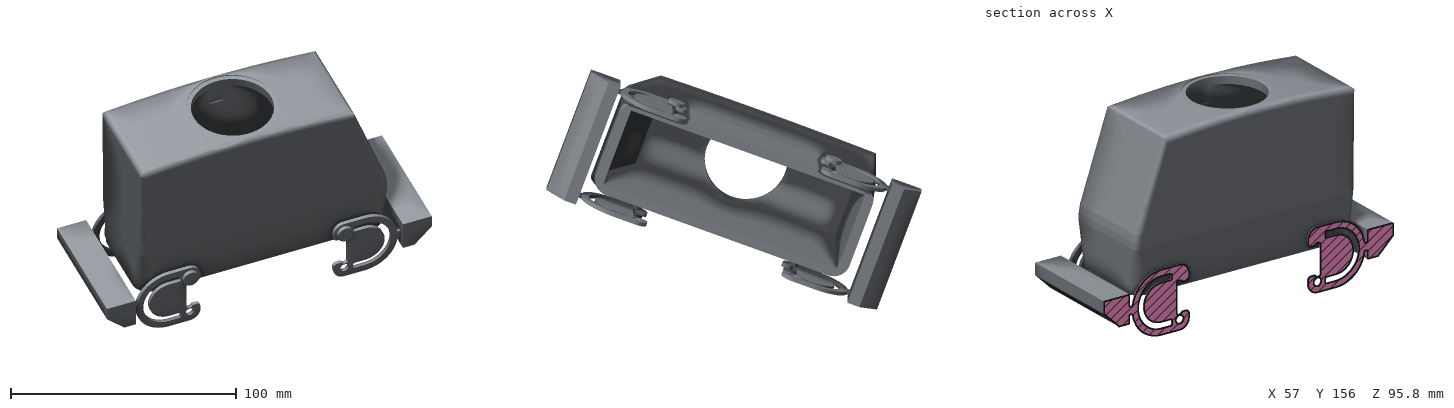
import cadquery as cq
import math


LENGTH = 156.0
WIDTH = 57.0

HALF_WIDTH = 23.1
HALF_WIDTH_SKIRT = 22.2
HALF_WIDTH_RIM = 21.8
HALF_LENGTH = 59.9
SKIRT_Z = 6.7
WAIST_Z = 23.1
BEND_Z = 26.2
BEND_Y = 59.6
SLOPE_BOTTOM_Z = 30.0
SLOPE_BOTTOM_Y = 58.8
BLANK_TOP_Z = 78.0
SLOPE_TOP_Y = 41.5
UPRIGHT_LEAN = 1.0
CORNER_RADIUS_RIM = 7.5
CORNER_RADIUS_SKIRT = 6.5
CORNER_RADIUS_TOP = 1.4
UPRIGHT_RADIUS_WAIST = 4.0
SLOPED_RADIUS_WAIST = 3.1
SLOPED_RADIUS_BEND = 3.0
SLOPED_RADIUS_KNEE = 2.8

OVERHANG = 31.2

DOME_RADIUS = 499.2
DOME_PEAK_Z = 76.0
ROOF_FILLET = 3.0
SLOPE_FILLET = 2.0
ENTRY_Y = -5.8
SPOT_FACE_Z = 75.5
ENTRY_RADIUS = 18.4
ENTRY_DEPTH = 12.0
SPOT_FACE_RADIUS = 20.6

SIDE_WALL = 5.1
END_WALL = 4.7
ROOF_THICKNESS = 4.2

LEVER_MID_Z = -4.0
LEVER_OUTER_X = 25.9
LEVER_THICKNESS = 1.7
LEVER_RADIUS = 15.8
LEVER_ARC_U = 9.8
FRONT_EDGE_U = 1.5
PIVOT_Y = 37.1
EYE_RADIUS = 5.1
PIVOT_OFFSET = LEVER_RADIUS - EYE_RADIUS
PIVOT_HOLE_RADIUS = 1.95
HOOK_RADIUS = 1.9
HOOK_END = 7.0
NOTCH_START_U = -1.4
NOTCH_DEPTH = 1.1
NOTCH_EDGE_RISE = 0.5
SLOT_OUTER_RADIUS = 12.5
SLOT_INNER_RADIUS = 9.5
SLOT_END_U = 4.2
SLOT_CORNER_RADIUS = 0.8

BOLT_SHAFT_RADIUS = 1.9
BOLT_HEAD_RADIUS = 3.7
BOLT_OUTER_X = 27.6
BOLT_INNER_X = 20.3

BAR_DEPTH = 13.9
BAR_TOP_Z = 3.9
BAR_HEIGHT = 14.2
BAR_CHAMFER_Y = 8.3
BAR_CHAMFER_Z = 8.1
NECK_HEIGHT = 4.0
NECK_OVERLAP = 0.8


def upright_y(z):
    """Y of the nearly vertical end wall at height z."""
    return -HALF_LENGTH + UPRIGHT_LEAN * z / BLANK_TOP_Z


def roof_z(y, drop):
    """Height at y of the dome lying the given drop inside the roof surface."""
    centre_z = DOME_PEAK_Z - DOME_RADIUS
    return centre_z + math.sqrt((DOME_RADIUS - drop) ** 2 - (y - ENTRY_Y) ** 2)


def section_wire(z, half_width, y_min, y_max, radius):
    """Closed rounded-rectangle wire at height z."""
    blank = cq.Workplane("XY").box(2 * half_width, y_max - y_min, BLANK_TOP_Z, centered=(True, True, False))
    wire = blank.edges("|Z").fillet(radius).faces("<Z").wires().val()
    return wire.translate(cq.Vector(0, (y_min + y_max) / 2, z))


def domed_block(half_width, drop=0.0):
    """Block under the dome, longer than the hood."""
    end_y = HALF_LENGTH + OVERHANG
    return (
        cq.Workplane("YZ", origin=(-half_width, 0, 0))
        .moveTo(-end_y, 0)
        .lineTo(-end_y, roof_z(-end_y, drop))
        .threePointArc((ENTRY_Y, DOME_PEAK_Z - drop), (end_y, roof_z(end_y, drop)))
        .lineTo(end_y, 0)
        .close()
        .extrude(2 * half_width)
    )


def side_profile_block(half_width, inset=0.0):
    """Block with the end walls of the hood, each moved inward by the inset."""
    slope_run = (SLOPE_BOTTOM_Y - SLOPE_TOP_Y) / (BLANK_TOP_Z - SLOPE_BOTTOM_Z)
    knee_z = SLOPE_BOTTOM_Z - (HALF_LENGTH - SLOPE_BOTTOM_Y) / slope_run
    outline = [
        (upright_y(0) + inset, 0),
        (upright_y(BLANK_TOP_Z) + inset, BLANK_TOP_Z),
        (SLOPE_TOP_Y - inset, BLANK_TOP_Z),
        (HALF_LENGTH - inset, knee_z),
        (HALF_LENGTH - inset, 0),
    ]
    plane = cq.Workplane("YZ", origin=(-half_width, 0, 0))
    return plane.polyline(outline).close().extrude(2 * half_width)


def loft_sections(sections):
    """Straight-sided loft through rounded rectangles."""
    wires = [section_wire(*section) for section in sections]
    return cq.Workplane(cq.Solid.makeLoft(wires, True))


def make_walls():
    """Solid blank whose vertical corners sharpen toward the top."""
    far_y = HALF_LENGTH + OVERHANG
    upright_end = loft_sections([
        (0, HALF_WIDTH_RIM, upright_y(0), far_y, CORNER_RADIUS_RIM),
        (SKIRT_Z, HALF_WIDTH_SKIRT, upright_y(SKIRT_Z), far_y, CORNER_RADIUS_SKIRT),
        (WAIST_Z, HALF_WIDTH, upright_y(WAIST_Z), far_y, UPRIGHT_RADIUS_WAIST),
        (BLANK_TOP_Z, HALF_WIDTH, upright_y(BLANK_TOP_Z), far_y, CORNER_RADIUS_TOP),
    ])
    sloped_end = loft_sections([
        (0, HALF_WIDTH_RIM, -far_y, HALF_LENGTH, CORNER_RADIUS_RIM),
        (SKIRT_Z, HALF_WIDTH_SKIRT, -far_y, HALF_LENGTH, CORNER_RADIUS_SKIRT),
        (WAIST_Z, HALF_WIDTH, -far_y, HALF_LENGTH, SLOPED_RADIUS_WAIST),
        (BEND_Z, HALF_WIDTH, -far_y, BEND_Y, SLOPED_RADIUS_BEND),
        (SLOPE_BOTTOM_Z, HALF_WIDTH, -far_y, SLOPE_BOTTOM_Y, SLOPED_RADIUS_KNEE),
        (BLANK_TOP_Z, HALF_WIDTH, -far_y, SLOPE_TOP_Y, CORNER_RADIUS_TOP),
    ])
    return upright_end.intersect(sloped_end)


def make_hood():
    """Hollow hood, open below, with round roof edges and the cable entry."""
    round_sides = domed_block(HALF_WIDTH).faces("<X or >X").edges(">Z").fillet(ROOF_FILLET)
    round_ends = side_profile_block(WIDTH).intersect(domed_block(WIDTH))
    round_ends = round_ends.faces(">Z").edges("<Y").fillet(ROOF_FILLET)
    round_ends = round_ends.faces(">Z").edges(">Y").fillet(SLOPE_FILLET)
    hood = make_walls().intersect(round_sides).intersect(round_ends)

    cavity_half_width = HALF_WIDTH - SIDE_WALL
    cavity = side_profile_block(cavity_half_width, END_WALL)
    cavity = cavity.intersect(domed_block(cavity_half_width, ROOF_THICKNESS))

    entry_plane = cq.Workplane("XY", origin=(0, ENTRY_Y, SPOT_FACE_Z))
    spot_face = entry_plane.circle(SPOT_FACE_RADIUS).extrude(DOME_PEAK_Z)
    entry = entry_plane.circle(ENTRY_RADIUS).extrude(-ENTRY_DEPTH)
    return hood.cut(cavity).cut(spot_face).cut(entry)


def make_lever():
    """Lever plate at the sloped end on the +X side."""
    plane = cq.Workplane("YZ", origin=(LEVER_OUTER_X, PIVOT_Y, LEVER_MID_Z))
    diagonal = math.sqrt(0.5)
    eye_in = EYE_RADIUS * (1 - diagonal)
    hook_in = HOOK_RADIUS * (1 - diagonal)

    upper_half = (
        plane.moveTo(LEVER_ARC_U + LEVER_RADIUS, 0)
        .threePointArc(
            (LEVER_ARC_U + LEVER_RADIUS * diagonal, LEVER_RADIUS * diagonal),
            (LEVER_ARC_U, LEVER_RADIUS),
        )
        .lineTo(0, LEVER_RADIUS)
        .threePointArc((-EYE_RADIUS + eye_in, LEVER_RADIUS - eye_in), (-EYE_RADIUS, PIVOT_OFFSET))
        .lineTo(-EYE_RADIUS, HOOK_END + HOOK_RADIUS)
        .threePointArc(
            (-EYE_RADIUS + hook_in, HOOK_END + hook_in),
            (-EYE_RADIUS + HOOK_RADIUS, HOOK_END),
        )
        .lineTo(NOTCH_START_U, HOOK_END)
        .threePointArc((0, HOOK_END + NOTCH_DEPTH), (FRONT_EDGE_U, HOOK_END + NOTCH_EDGE_RISE))
        .lineTo(FRONT_EDGE_U, 0)
        .close()
        .extrude(-LEVER_THICKNESS)
    )
    plate = upper_half.union(upper_half.mirror("XY", (0, 0, LEVER_MID_Z)))

    slot = (
        plane.moveTo(SLOT_END_U, -SLOT_OUTER_RADIUS)
        .lineTo(LEVER_ARC_U, -SLOT_OUTER_RADIUS)
        .threePointArc((LEVER_ARC_U + SLOT_OUTER_RADIUS, 0), (LEVER_ARC_U, SLOT_OUTER_RADIUS))
        .lineTo(SLOT_END_U, SLOT_OUTER_RADIUS)
        .lineTo(SLOT_END_U, SLOT_INNER_RADIUS)
        .lineTo(LEVER_ARC_U, SLOT_INNER_RADIUS)
        .threePointArc((LEVER_ARC_U + SLOT_INNER_RADIUS, 0), (LEVER_ARC_U, -SLOT_INNER_RADIUS))
        .lineTo(SLOT_END_U, -SLOT_INNER_RADIUS)
        .close()
        .extrude(-LEVER_THICKNESS)
        .edges("|X and <Y")
        .fillet(SLOT_CORNER_RADIUS)
    )
    hole = plane.center(0, -PIVOT_OFFSET).circle(PIVOT_HOLE_RADIUS).extrude(-LEVER_THICKNESS)

    neck_start = PIVOT_Y + LEVER_ARC_U + LEVER_RADIUS - NECK_OVERLAP
    neck_length = LENGTH / 2 - BAR_DEPTH - neck_start
    neck = cq.Workplane("XY").box(LEVER_THICKNESS, neck_length, NECK_HEIGHT).translate(
        (LEVER_OUTER_X - LEVER_THICKNESS / 2, neck_start + neck_length / 2, LEVER_MID_Z)
    )
    return plate.cut(slot).cut(hole).union(neck)


def make_bolt():
    """Headed pivot bolt joining the +X lever to the hood wall."""
    plane = cq.Workplane("YZ", origin=(BOLT_OUTER_X, PIVOT_Y, LEVER_MID_Z + PIVOT_OFFSET))
    head = plane.circle(BOLT_HEAD_RADIUS).extrude(LEVER_OUTER_X - BOLT_OUTER_X)
    shaft = plane.circle(BOLT_SHAFT_RADIUS).extrude(BOLT_INNER_X - BOLT_OUTER_X)
    return head.union(shaft)


def make_bar():
    """Handle bar across the sloped end, bevelled below on its outer side."""
    outer_y = LENGTH / 2
    inner_y = outer_y - BAR_DEPTH
    bottom_z = BAR_TOP_Z - BAR_HEIGHT
    outline = [
        (inner_y, BAR_TOP_Z),
        (outer_y, BAR_TOP_Z),
        (outer_y, bottom_z + BAR_CHAMFER_Z),
        (outer_y - BAR_CHAMFER_Y, bottom_z),
        (inner_y, bottom_z),
    ]
    return cq.Workplane("YZ", origin=(-WIDTH / 2, 0, 0)).polyline(outline).close().extrude(WIDTH)


side_hardware = make_lever().union(make_bolt())
end_hardware = make_bar().union(side_hardware).union(side_hardware.mirror("YZ"))
result = make_hood().union(end_hardware).union(end_hardware.mirror("XZ"))